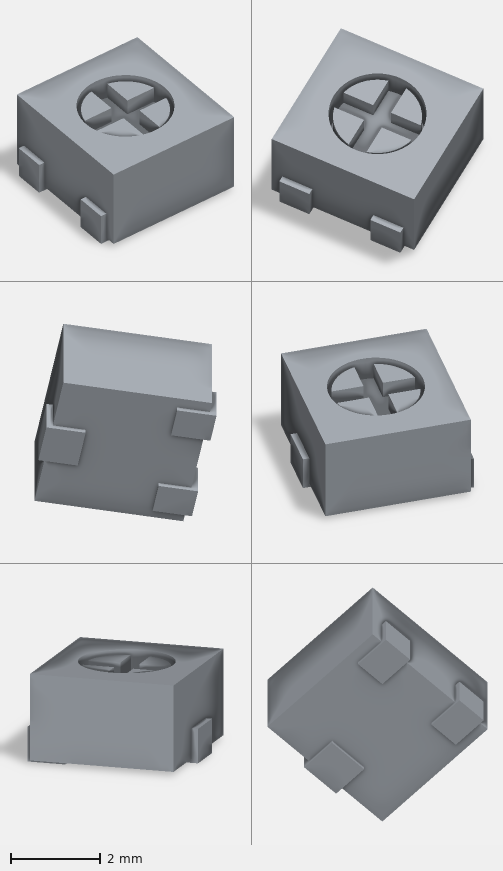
import cadquery as cq

overall_length = 3.7
body_width = 3.6
body_length = 3.4
body_height = 2.0
standoff = 0.1
body_top = standoff + body_height

lead_thickness = (overall_length - body_length) / 2
lead_height = 0.8
foot_length = 0.9
front_lead_width = 0.76
front_lead_offset = 1.15
back_lead_width = 1.0

well_diameter = 2.2
rotor_diameter = 2.0
rotor_recess = 0.1
slot_width = 0.45
slot_depth = 0.4
well_depth = 1.0
rotor_thickness = well_depth - rotor_recess


def make_body():
    """Rectangular housing with a round well in its top face."""
    body = cq.Workplane("XY").box(body_width, body_length, body_height, centered=(True, True, False))
    body = body.translate((0, 0, standoff))
    return body.faces(">Z").workplane().hole(well_diameter, well_depth)


def make_rotor():
    """Disc standing on the well floor, its top divided into quadrants by a cross slot."""
    well_floor = body_top - well_depth
    slot_floor = body_top - rotor_recess - slot_depth
    rotor = cq.Workplane("XY", origin=(0, 0, well_floor)).circle(rotor_diameter / 2).extrude(rotor_thickness)
    slot = cq.Workplane("XY", origin=(0, 0, slot_floor)).rect(rotor_diameter, slot_width).extrude(slot_depth)
    cross = slot.union(slot.rotate((0, 0, 0), (0, 0, 1), 90))
    return rotor.cut(cross)


def make_lead(width, x_center, side):
    """Upright on the end face plus a foot under the body; side is -1 for front, 1 for back."""
    outer = side * overall_length / 2
    inner = outer - side * lead_thickness
    toe = outer - side * foot_length
    profile = [
        (outer, 0),
        (outer, lead_height),
        (inner, lead_height),
        (inner, standoff),
        (toe, standoff),
        (toe, 0),
    ]
    lead = cq.Workplane("YZ").polyline(profile).close().extrude(width / 2, both=True)
    return lead.translate((x_center, 0, 0))


result = make_body().union(make_rotor())
for x_center in (-front_lead_offset, front_lead_offset):
    result = result.union(make_lead(front_lead_width, x_center, -1))
result = result.union(make_lead(back_lead_width, 0, 1))